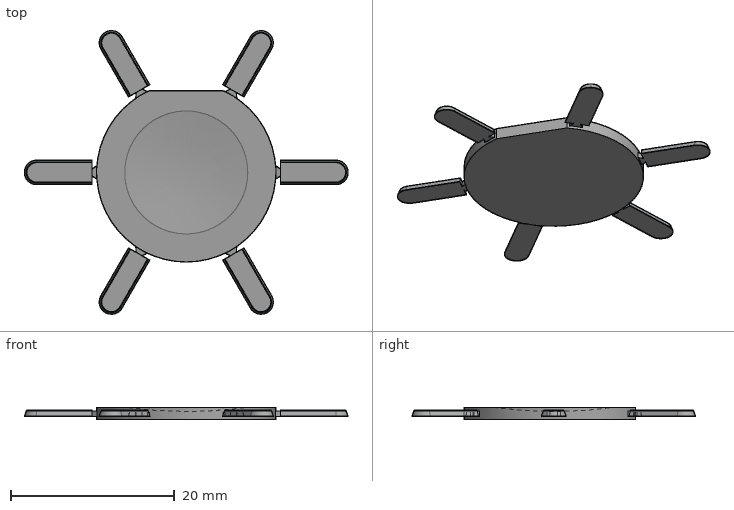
import cadquery as cq
import math

HUB_RADIUS = 10.97
HUB_THICKNESS = 1.5
HUB_FLAT_Y = 10.02
DISH_RADIUS = 7.53
DISH_DEPTH = 0.5

ARM_COUNT = 6
ARM_TIP_RADIUS = 19.8
ARM_ROOT_RADIUS = 11.53
ARM_WIDTH = 3.0
ARM_THICKNESS = 0.8
ARM_LAND = 0.08
ARM_DRAFT_ANGLE = 20.0
ARM_CHAMFER_HEIGHT = 0.1
ARM_CHAMFER_WIDTH = 0.087
ARM_BOTTOM_Z = (HUB_THICKNESS - ARM_THICKNESS) / 2

NECK_ARM_WIDTH = 0.87
NECK_RIM_WIDTH = 1.65
NECK_STEP = 0.08
NECK_THICKNESS = ARM_THICKNESS - NECK_STEP
NECK_EMBED = 0.4


def make_hub():
    disc = cq.Workplane("XY").circle(HUB_RADIUS).extrude(HUB_THICKNESS)
    beyond_flat = (
        cq.Workplane("XY")
        .box(2 * HUB_RADIUS, HUB_RADIUS, HUB_THICKNESS, centered=(True, False, False))
        .translate((0, HUB_FLAT_Y, 0))
    )
    sphere_radius = (DISH_RADIUS**2 + DISH_DEPTH**2) / (2 * DISH_DEPTH)
    sphere_centre_z = HUB_THICKNESS - DISH_DEPTH + sphere_radius
    dish = cq.Workplane("XY").sphere(sphere_radius).translate((0, 0, sphere_centre_z))
    return disc.cut(beyond_flat).cut(dish)


def arm_outline(inset, z):
    """Closed outline of an arm along +X, with its sides and tip moved in by the inset."""
    half_width = ARM_WIDTH / 2 - inset
    tip_x = ARM_TIP_RADIUS - inset
    tip_start_x = tip_x - half_width
    return (
        cq.Workplane("XY", origin=(0, 0, z))
        .moveTo(ARM_ROOT_RADIUS, -half_width)
        .lineTo(tip_start_x, -half_width)
        .threePointArc((tip_x, 0), (tip_start_x, half_width))
        .lineTo(ARM_ROOT_RADIUS, half_width)
        .close()
    )


def loft_outlines(lower, upper):
    return cq.Workplane(cq.Solid.makeLoft([lower.val(), upper.val()], True))


def make_arm():
    draft_height = ARM_THICKNESS - ARM_LAND - ARM_CHAMFER_HEIGHT
    draft_inset = draft_height * math.tan(math.radians(ARM_DRAFT_ANGLE))
    draft_start_z = ARM_BOTTOM_Z + ARM_LAND
    draft_end_z = draft_start_z + draft_height
    top_z = ARM_BOTTOM_Z + ARM_THICKNESS

    draft_start = arm_outline(0, draft_start_z)
    draft_end = arm_outline(draft_inset, draft_end_z)
    top = arm_outline(draft_inset + ARM_CHAMFER_WIDTH, top_z)

    land = arm_outline(0, ARM_BOTTOM_Z).extrude(ARM_LAND)
    return land.union(loft_outlines(draft_start, draft_end)).union(loft_outlines(draft_end, top))


def make_neck():
    rim_half_width = NECK_RIM_WIDTH / 2
    rim_x = math.sqrt(HUB_RADIUS**2 - rim_half_width**2)
    half_outline = [
        (rim_x - NECK_EMBED, rim_half_width),
        (rim_x, rim_half_width),
        (ARM_ROOT_RADIUS, NECK_ARM_WIDTH / 2),
    ]
    mirrored = [(x, -y) for x, y in reversed(half_outline)]
    return (
        cq.Workplane("XY", origin=(0, 0, ARM_BOTTOM_Z))
        .polyline(half_outline + mirrored)
        .close()
        .extrude(NECK_THICKNESS)
    )


spoke = make_neck().union(make_arm())

result = make_hub()
for index in range(ARM_COUNT):
    angle = index * 360 / ARM_COUNT
    result = result.union(spoke.rotate((0, 0, 0), (0, 0, 1), angle))